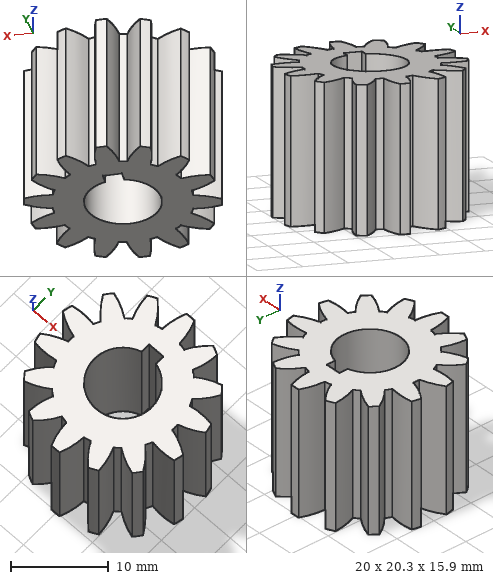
import cadquery as cq
import math

tooth_count = 14
module = 1.27
dedendum = 1.25 * module
face_width = 15.875
pitch_radius = module * tooth_count / 2
tip_radius = pitch_radius + module
root_radius = pitch_radius - dedendum

tip_half_thickness = 0.565
pitch_half_thickness = math.pi * module / 4
root_half_thickness = 1.225

bore_diameter = 8.0
keyway_width = 2.0
keyway_top = 5.0

tooth_pitch_angle = 2 * math.pi / tooth_count
first_tooth_angle = math.pi / 2


def point_on_circle(radius, angle):
    return (radius * math.cos(angle), radius * math.sin(angle))


def flank_point(radius, half_thickness, tooth_angle, side):
    """Point on one flank of a tooth: side -1 is clockwise of the tooth centre, +1 counter-clockwise."""
    return point_on_circle(radius, tooth_angle + side * math.asin(half_thickness / radius))


def add_tooth(outline, tooth_angle):
    """Go up one flank, across the tip, down the other flank and along the root to the next tooth."""
    next_tooth_angle = tooth_angle + tooth_pitch_angle
    return (
        outline
        .threePointArc(
            flank_point(pitch_radius, pitch_half_thickness, tooth_angle, -1),
            flank_point(tip_radius, tip_half_thickness, tooth_angle, -1),
        )
        .threePointArc(
            point_on_circle(tip_radius, tooth_angle),
            flank_point(tip_radius, tip_half_thickness, tooth_angle, 1),
        )
        .threePointArc(
            flank_point(pitch_radius, pitch_half_thickness, tooth_angle, 1),
            flank_point(root_radius, root_half_thickness, tooth_angle, 1),
        )
        .threePointArc(
            point_on_circle(root_radius, tooth_angle + tooth_pitch_angle / 2),
            flank_point(root_radius, root_half_thickness, next_tooth_angle, -1),
        )
    )


def make_toothed_blank():
    outline = cq.Workplane("XY").moveTo(
        *flank_point(root_radius, root_half_thickness, first_tooth_angle, -1)
    )
    for tooth in range(tooth_count):
        outline = add_tooth(outline, first_tooth_angle + tooth * tooth_pitch_angle)
    return outline.close().extrude(face_width)


def make_bore():
    return cq.Workplane("XY").circle(bore_diameter / 2).extrude(face_width)


def make_keyway():
    return (
        cq.Workplane("XY")
        .center(0, keyway_top / 2)
        .rect(keyway_width, keyway_top)
        .extrude(face_width)
    )


result = make_toothed_blank().cut(make_bore()).cut(make_keyway())